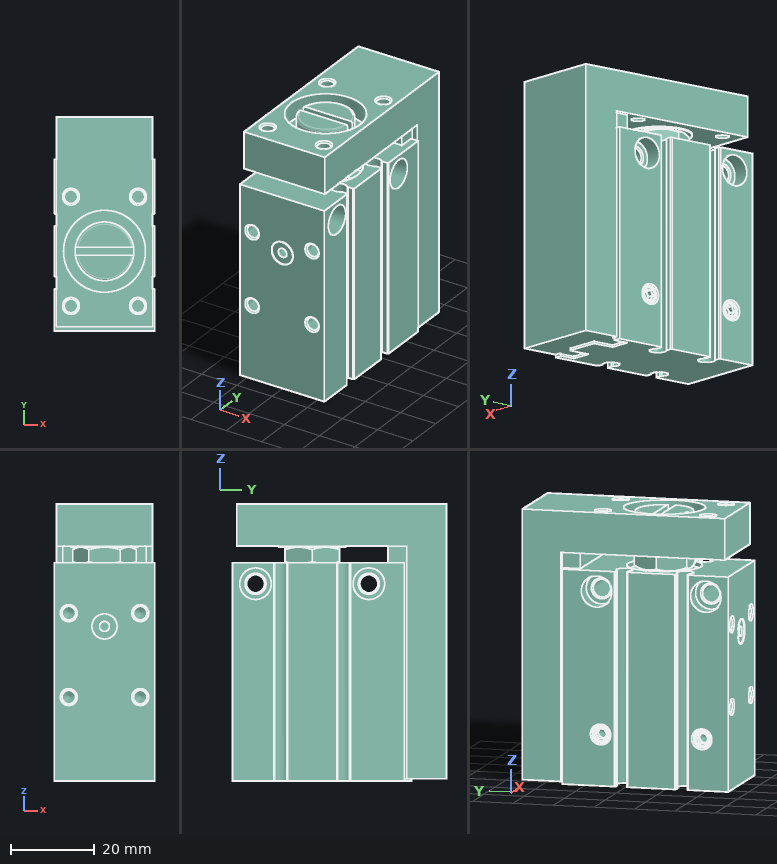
import cadquery as cq
import math


HOUSING_WIDTH = 24.0
HOUSING_DEPTH = 41.0
HOUSING_HEIGHT = 52.0
SIDE = HOUSING_WIDTH / 2

TOTAL_DEPTH = 51.0
TOTAL_HEIGHT = 66.0
TABLE_WIDTH = 23.0
TABLE_FRONT_SETBACK = 1.0
TABLE_BOTTOM = 0.5
TOP_PLATE_THICKNESS = 10.0
BACK_PLATE_THICKNESS = 9.5
PLATE_UNDERSIDE = TOTAL_HEIGHT - TOP_PLATE_THICKNESS
BACK_PLATE_FRONT = TOTAL_DEPTH - BACK_PLATE_THICKNESS
HEAD_POCKET_DIAMETER = 19.55
HEAD_POCKET_DEPTH = 5.0

CARRIAGE_WIDTH = 20.0
CARRIAGE_FRONT = 37.0
RAIL_WIDTH = 9.0
RAIL_BACK = 42.7
RAIL_TOP = HOUSING_HEIGHT - 2.0

ROD_Y = 19.0
ROD_DIAMETER = 8.0
ROD_BOTTOM = 10.0
HEAD_DIAMETER = 14.0
HEAD_TOP_SETBACK = 0.5
HEAD_FILLET = 0.5
SLOT_WIDTH = 2.0
SLOT_DEPTH = 2.5
WASHER_DIAMETER = 16.0
WASHER_THICKNESS = 0.25
NUT_ACROSS_FLATS = 13.0
NUT_CHAMFER_ANGLE = 30.0
NUT_SETBACK = 0.3
NUT_BOTTOM = HOUSING_HEIGHT - NUT_SETBACK

CAP_DIAMETER = 18.0
CAP_BOTTOM_DEPTH = 5.0
CAP_LUG_WIDTH = 4.2
CAP_LUG_HEIGHT = 1.3
NUT_CLEARANCE_DIAMETER = 15.2
CAP_BOTTOM = HOUSING_HEIGHT - CAP_BOTTOM_DEPTH

TAP_DIAMETER = 3.25
TAP_MOUTH_DIAMETER = 4.0
TABLE_TAP_SPACING_X = 16.0
TABLE_TAP_SPACING_Y = 26.0
FRONT_TAP_SPACING_X = 17.0
FRONT_TAP_SPACING_Z = 20.0
FRONT_TAP_LOW_Z = 20.0
FRONT_TAP_DEPTH = 6.0
DRILL_POINT_ANGLE = 118.0

PORT_Z = 36.8
PORT_DIAMETER = 2.4
PORT_DEPTH = 4.0
SPOTFACE_DIAMETER = 6.0
SPOTFACE_DEPTH = 0.2

GROOVE_SPACING = 15.0
GROOVE_NECK_WIDTH = 2.8
GROOVE_NECK_DEPTH = 1.65
GROOVE_FLARE_WIDTH = 3.2
GROOVE_FLARE_DEPTH = 2.05
GROOVE_CHAMFER = 0.25
GROOVE_DIAMETER = 4.0
GROOVE_CENTRE_DEPTH = 3.3

MOUNT_SPACING = 27.0
MOUNT_Z = 47.0
MOUNT_DIAMETER = 4.3
MOUNT_MOUTH_DIAMETER = 5.0
COUNTERBORE_DIAMETER = 7.5
COUNTERBORE_DEPTH = 4.5

SCREW_SPACING = 25.0
SCREW_Z = 12.5
SCREW_DIAMETER = 4.3
SCREW_LENGTH = 5.0
SCREW_SETBACK = 0.4
SCREW_CHAMFER = 0.2
SCREW_MOUTH_DIAMETER = 5.0
SOCKET_ACROSS_FLATS = 2.4
SOCKET_MOUTH_DIAMETER = 3.25
SOCKET_DEPTH = 2.0


def block(width, y_range, z_range):
    """Box centred on X = 0 between two Y positions and two Z positions."""
    y0, y1 = y_range
    z0, z1 = z_range
    corner = cq.Vector(-width / 2, y0, z0)
    return cq.Workplane(cq.Solid.makeBox(width, y1 - y0, z1 - z0, corner))


def cylinder(start, direction, diameter, length):
    """Round bar or drill from a start point along a direction."""
    return cq.Workplane(cq.Solid.makeCylinder(diameter / 2, length, cq.Vector(*start), cq.Vector(*direction)))


def cone(start, direction, start_diameter, end_diameter, length):
    """Round taper from a start point along a direction."""
    base = cq.Vector(*start)
    axis = cq.Vector(*direction)
    return cq.Workplane(cq.Solid.makeCone(start_diameter / 2, end_diameter / 2, length, base, axis))


def along(start, direction, distance):
    """Point a distance away from a start point."""
    return tuple(s + distance * d for s, d in zip(start, direction))


def drill_with_point(start, direction, diameter, depth):
    """Cylindrical hole that ends in a drill point."""
    point_length = diameter / 2 / math.tan(math.radians(DRILL_POINT_ANGLE / 2))
    tip = cone(along(start, direction, depth), direction, diameter, 0, point_length)
    return cylinder(start, direction, diameter, depth).union(tip)


def mouth_chamfer(start, direction, mouth_diameter, hole_diameter):
    """45 degree countersink at the mouth of a hole."""
    return cone(start, direction, mouth_diameter, hole_diameter, (mouth_diameter - hole_diameter) / 2)


def pair(centre, spacing):
    """Two positions spread evenly about a centre."""
    return (centre - spacing / 2, centre + spacing / 2)


def sensor_groove(y, side):
    """Full-height groove: a chamfered neck flares into a round channel; side is -1 or 1."""
    half_neck = GROOVE_NECK_WIDTH / 2
    half_flare = GROOVE_FLARE_WIDTH / 2
    steps = [
        (0, half_neck + GROOVE_CHAMFER),
        (GROOVE_CHAMFER, half_neck),
        (GROOVE_NECK_DEPTH, half_neck),
        (GROOVE_FLARE_DEPTH, half_flare),
        (GROOVE_CENTRE_DEPTH, half_flare),
    ]
    back_edge = [(side * (SIDE - depth), y + half_width) for depth, half_width in steps]
    front_edge = [(side * (SIDE - depth), y - half_width) for depth, half_width in reversed(steps)]
    neck = cq.Workplane("XY").polyline(back_edge + front_edge).close().extrude(HOUSING_HEIGHT)
    channel_start = (side * (SIDE - GROOVE_CENTRE_DEPTH), y, 0)
    return neck.union(cylinder(channel_start, (0, 0, 1), GROOVE_DIAMETER, HOUSING_HEIGHT))


def mounting_hole(y):
    """Tapped cross hole with a counterbore and a countersunk thread at both sides."""
    hole = cylinder((-SIDE, y, MOUNT_Z), (1, 0, 0), MOUNT_DIAMETER, HOUSING_WIDTH)
    for side in (-1, 1):
        inward = (-side, 0, 0)
        mouth = (side * SIDE, y, MOUNT_Z)
        seat = along(mouth, inward, COUNTERBORE_DEPTH)
        hole = hole.union(cylinder(mouth, inward, COUNTERBORE_DIAMETER, COUNTERBORE_DEPTH))
        hole = hole.union(mouth_chamfer(seat, inward, MOUNT_MOUTH_DIAMETER, MOUNT_DIAMETER))
    return hole


def screw_hole(y):
    """Countersunk blind hole that holds one side screw."""
    mouth = (-SIDE, y, SCREW_Z)
    inward = (1, 0, 0)
    hole = cylinder(mouth, inward, SCREW_DIAMETER, SCREW_SETBACK + SCREW_LENGTH)
    return hole.union(mouth_chamfer(mouth, inward, SCREW_MOUTH_DIAMETER, SCREW_DIAMETER))


def front_tapped_hole(x, z):
    """Countersunk blind tapped hole in the front face."""
    mouth = (x, 0, z)
    inward = (0, 1, 0)
    hole = drill_with_point(mouth, inward, TAP_DIAMETER, FRONT_TAP_DEPTH)
    return hole.union(mouth_chamfer(mouth, inward, TAP_MOUTH_DIAMETER, TAP_DIAMETER))


def air_port():
    """Blind port with a shallow spotface in the front face."""
    hole = cylinder((0, 0, PORT_Z), (0, 1, 0), PORT_DIAMETER, PORT_DEPTH)
    return hole.union(cylinder((0, 0, PORT_Z), (0, 1, 0), SPOTFACE_DIAMETER, SPOTFACE_DEPTH))


def make_housing():
    body = block(HOUSING_WIDTH, (0, HOUSING_DEPTH), (0, HOUSING_HEIGHT))
    body = body.cut(block(CARRIAGE_WIDTH, (CARRIAGE_FRONT, HOUSING_DEPTH), (0, HOUSING_HEIGHT)))
    body = body.union(block(RAIL_WIDTH, (CARRIAGE_FRONT, RAIL_BACK), (0, RAIL_TOP)))

    body = body.cut(cylinder((0, ROD_Y, ROD_BOTTOM), (0, 0, 1), ROD_DIAMETER, HOUSING_HEIGHT - ROD_BOTTOM))
    body = body.cut(cylinder((0, ROD_Y, CAP_BOTTOM), (0, 0, 1), CAP_DIAMETER, CAP_BOTTOM_DEPTH))

    for y in pair(ROD_Y, GROOVE_SPACING):
        for side in (-1, 1):
            body = body.cut(sensor_groove(y, side))
    for y in pair(ROD_Y, MOUNT_SPACING):
        body = body.cut(mounting_hole(y))
    for y in pair(ROD_Y, SCREW_SPACING):
        body = body.cut(screw_hole(y))
    for x in pair(0, FRONT_TAP_SPACING_X):
        for z in (FRONT_TAP_LOW_Z, FRONT_TAP_LOW_Z + FRONT_TAP_SPACING_Z):
            body = body.cut(front_tapped_hole(x, z))
    return body.cut(air_port())


def make_table():
    top_plate = block(TABLE_WIDTH, (TABLE_FRONT_SETBACK, TOTAL_DEPTH), (PLATE_UNDERSIDE, TOTAL_HEIGHT))
    back_plate = block(TABLE_WIDTH, (BACK_PLATE_FRONT, TOTAL_DEPTH), (TABLE_BOTTOM, TOTAL_HEIGHT))
    carriage = block(CARRIAGE_WIDTH, (CARRIAGE_FRONT, BACK_PLATE_FRONT), (TABLE_BOTTOM, PLATE_UNDERSIDE))
    body = top_plate.union(back_plate).union(carriage)
    body = body.cut(block(RAIL_WIDTH, (CARRIAGE_FRONT, RAIL_BACK), (TABLE_BOTTOM, RAIL_TOP)))

    down = (0, 0, -1)
    rod_top = (0, ROD_Y, TOTAL_HEIGHT)
    body = body.cut(cylinder(rod_top, down, HEAD_POCKET_DIAMETER, HEAD_POCKET_DEPTH))
    body = body.cut(cylinder(rod_top, down, ROD_DIAMETER, TOP_PLATE_THICKNESS))

    for x in pair(0, TABLE_TAP_SPACING_X):
        for y in pair(ROD_Y, TABLE_TAP_SPACING_Y):
            mouth = (x, y, TOTAL_HEIGHT)
            body = body.cut(cylinder(mouth, down, TAP_DIAMETER, TOP_PLATE_THICKNESS))
            body = body.cut(mouth_chamfer(mouth, down, TAP_MOUTH_DIAMETER, TAP_DIAMETER))
    return body


def make_cap():
    """End cap around the rod, with two lugs that stand up beside the nut."""
    up = (0, 0, 1)
    start = (0, ROD_Y, CAP_BOTTOM)
    floor = HOUSING_HEIGHT - CAP_LUG_HEIGHT
    cap = cylinder(start, up, CAP_DIAMETER, CAP_BOTTOM_DEPTH)
    lugs = block(CAP_DIAMETER, pair(ROD_Y, CAP_LUG_WIDTH), (floor, HOUSING_HEIGHT))
    lugs = lugs.cut(cylinder((0, ROD_Y, floor), up, NUT_CLEARANCE_DIAMETER, CAP_LUG_HEIGHT))
    lowered = cylinder((0, ROD_Y, floor), up, CAP_DIAMETER, CAP_LUG_HEIGHT).cut(lugs)
    return cap.cut(lowered).cut(cylinder(start, up, ROD_DIAMETER, CAP_BOTTOM_DEPTH))


def make_rod():
    """Piston rod with a rounded head and a screwdriver slot along X."""
    head_bottom = TOTAL_HEIGHT - HEAD_POCKET_DEPTH
    head_top = TOTAL_HEIGHT - HEAD_TOP_SETBACK
    shank = cylinder((0, ROD_Y, ROD_BOTTOM), (0, 0, 1), ROD_DIAMETER, head_bottom - ROD_BOTTOM)
    head = cylinder((0, ROD_Y, head_bottom), (0, 0, 1), HEAD_DIAMETER, head_top - head_bottom)
    head = head.faces(">Z").edges().fillet(HEAD_FILLET)
    slot = block(HEAD_DIAMETER, pair(ROD_Y, SLOT_WIDTH), (head_top - SLOT_DEPTH, head_top))
    return shank.union(head).cut(slot)


def make_washer():
    """Thin washer between the nut and the underside of the table."""
    start = (0, ROD_Y, PLATE_UNDERSIDE)
    disc = cylinder(start, (0, 0, -1), WASHER_DIAMETER, WASHER_THICKNESS)
    return disc.cut(cylinder(start, (0, 0, -1), ROD_DIAMETER, WASHER_THICKNESS))


def make_nut():
    """Hexagon nut with both ends chamfered down to the width across its flats."""
    height = PLATE_UNDERSIDE - WASHER_THICKNESS - NUT_BOTTOM
    across_corners = NUT_ACROSS_FLATS / math.cos(math.pi / 6)
    hexagon = cq.Workplane("XY").polygon(6, across_corners).extrude(height)

    flat_radius = NUT_ACROSS_FLATS / 2
    corner_radius = across_corners / 2
    drop = (corner_radius - flat_radius) * math.tan(math.radians(NUT_CHAMFER_ANGLE))
    envelope = (
        cq.Workplane("XZ")
        .polyline([
            (0, 0),
            (flat_radius, 0),
            (corner_radius, drop),
            (corner_radius, height - drop),
            (flat_radius, height),
            (0, height),
        ])
        .close()
        .revolve(360, (0, 0, 0), (0, 1, 0))
    )
    nut = hexagon.intersect(envelope).translate((0, ROD_Y, NUT_BOTTOM))
    return nut.cut(cylinder((0, ROD_Y, NUT_BOTTOM), (0, 0, 1), ROD_DIAMETER, height))


def make_screw(y):
    """Side screw, set slightly below the housing face, with a countersunk and pointed hexagon socket."""
    outer_end = (-SIDE + SCREW_SETBACK, y, SCREW_Z)
    inward = (1, 0, 0)
    screw = cylinder(outer_end, inward, SCREW_DIAMETER, SCREW_LENGTH)
    screw = screw.faces("<X").edges().chamfer(SCREW_CHAMFER)

    across_corners = SOCKET_ACROSS_FLATS / math.cos(math.pi / 6)
    socket = cq.Workplane("YZ").polygon(6, across_corners).extrude(SOCKET_DEPTH).translate(outer_end)
    screw = screw.cut(socket)
    screw = screw.cut(mouth_chamfer(outer_end, inward, SOCKET_MOUTH_DIAMETER, SOCKET_ACROSS_FLATS))
    return screw.cut(drill_with_point(outer_end, inward, SOCKET_ACROSS_FLATS, SOCKET_DEPTH))


housing = make_housing()
table = make_table()
cap = make_cap()
rod = make_rod()
washer = make_washer()
nut = make_nut()
screws = [make_screw(y) for y in pair(ROD_Y, SCREW_SPACING)]

result = cq.Compound.makeCompound([
    housing.val(),
    table.val(),
    cap.val(),
    rod.val(),
    washer.val(),
    nut.val(),
    *[screw.val() for screw in screws],
])